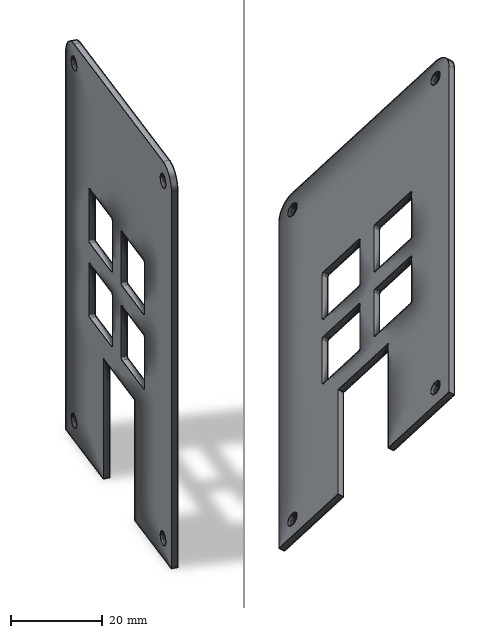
import cadquery as cq

plate_width = 63.0
plate_height = 102.0
plate_thickness = 1.5
top_corner_radius = 5.0

hole_diameter = 3.4
hole_inset = 5.0

window_size = 14.0
window_pitch = 19.2
window_corner_radius = 0.5
grid_center_x = -1.1
grid_center_z = 53.4

notch_width = 18.6
notch_height = 31.0
notch_center_x = 0.3


def standing_box(width, height, center_x, bottom_z):
    """Box as thick as the plate, centred on Y = 0."""
    return (
        cq.Workplane("XY")
        .box(width, plate_thickness, height, centered=(True, True, False))
        .translate((center_x, 0, bottom_z))
    )


def make_plate():
    plate = standing_box(plate_width, plate_height, 0, 0)
    return plate.faces(">Z").edges("|Y").fillet(top_corner_radius)


def make_holes():
    spacing_x = plate_width - 2 * hole_inset
    spacing_z = plate_height - 2 * hole_inset
    return (
        cq.Workplane("XZ", origin=(0, 0, plate_height / 2))
        .rarray(spacing_x, spacing_z, 2, 2)
        .circle(hole_diameter / 2)
        .extrude(plate_thickness, both=True)
    )


def make_window(center_x, center_z):
    window = standing_box(window_size, window_size, center_x, center_z - window_size / 2)
    return window.edges("|Y").fillet(window_corner_radius)


result = make_plate().cut(make_holes())

for side_x in (-1, 1):
    for side_z in (-1, 1):
        window_x = grid_center_x + side_x * window_pitch / 2
        window_z = grid_center_z + side_z * window_pitch / 2
        result = result.cut(make_window(window_x, window_z))

result = result.cut(standing_box(notch_width, notch_height, notch_center_x, 0))